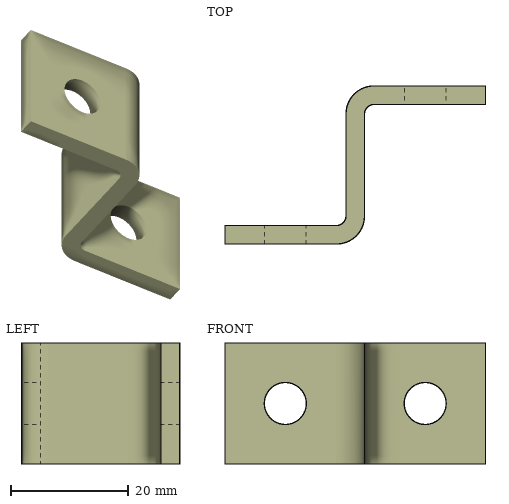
import cadquery as cq

length = 44.45
depth = 26.98
height = 20.6

thickness = 3.2
inner_bend_radius = 1.6
outer_bend_radius = inner_bend_radius + thickness

hole_diameter = 7.1
hole_offset = length / 2 - height / 2

half_length = length / 2
half_depth = depth / 2
half_web = thickness / 2
flange_inner_y = half_depth - thickness


def bent_strip():
    """Extrude the Z outline along the strip width and round its four bend edges."""
    outline = [
        (-half_length, -half_depth),
        (half_web, -half_depth),
        (half_web, flange_inner_y),
        (half_length, flange_inner_y),
        (half_length, half_depth),
        (-half_web, half_depth),
        (-half_web, -flange_inner_y),
        (-half_length, -flange_inner_y),
    ]
    strip = cq.Workplane("XY").polyline(outline).close().extrude(height / 2, both=True)
    for side in (-1, 1):
        inner_corner = (side * half_web, side * flange_inner_y, 0)
        outer_corner = (-side * half_web, side * half_depth, 0)
        strip = strip.edges(cq.NearestToPointSelector(inner_corner)).fillet(inner_bend_radius)
        strip = strip.edges(cq.NearestToPointSelector(outer_corner)).fillet(outer_bend_radius)
    return strip


def flange_holes():
    """Cylinders along Y that pass through both flanges."""
    return (
        cq.Workplane("XZ")
        .pushPoints([(-hole_offset, 0), (hole_offset, 0)])
        .circle(hole_diameter / 2)
        .extrude(depth, both=True)
    )


result = bent_strip().cut(flange_holes())